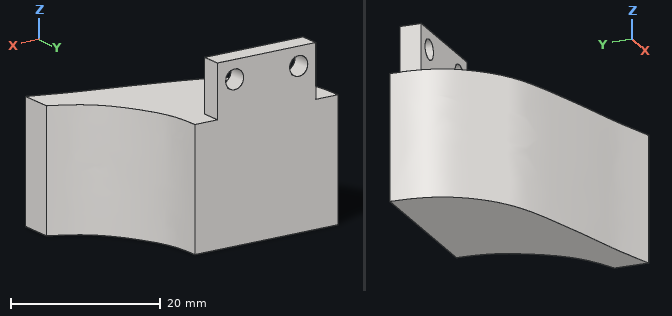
import cadquery as cq

BODY_LENGTH = 35.0
BODY_DEPTH = 23.0
BODY_HEIGHT = 18.3
BACK_WIDTH = 23.25
TIP_WIDTH = 5.0

FRONT_CURVE_POINTS = [(1.55, -8.05), (5.88, -13.23), (15.05, -17.32), (26.25, -20.37)]
SQUARE_TO_BACK = (0, -1)
FRONT_TIP_DIRECTION = (3, -1)

SIDE_CURVE_POINTS = [(29.9, -14.98), (24.92, -8.05)]
SIDE_TIP_DIRECTION = (-2.2, 1)
SIDE_BACK_DIRECTION = (0, 1)

TAB_OFFSET = 3.6
TAB_WIDTH = 15.95
TAB_THICKNESS = 3.08
TOTAL_HEIGHT = 26.3
TAB_HEIGHT = TOTAL_HEIGHT - BODY_HEIGHT

HOLE_DIAMETER = 2.9
HOLE_SPACING = 10.4
HOLE_DROP = 2.8


def make_body():
    """Extruded body between the swept front curve and the concave side curve."""
    tip_front = (BODY_LENGTH, -BODY_DEPTH)
    tip_back = (BODY_LENGTH, TIP_WIDTH - BODY_DEPTH)
    return (
        cq.Workplane("XY")
        .spline(
            [(0, 0)] + FRONT_CURVE_POINTS + [tip_front],
            tangents=[SQUARE_TO_BACK, FRONT_TIP_DIRECTION],
        )
        .lineTo(*tip_back)
        .spline(
            SIDE_CURVE_POINTS + [(BACK_WIDTH, 0)],
            tangents=[SIDE_TIP_DIRECTION, SIDE_BACK_DIRECTION],
            includeCurrent=True,
        )
        .close()
        .extrude(BODY_HEIGHT)
    )


def make_tab():
    """Rectangular tab with two holes running along Y."""
    tab = cq.Workplane("XY").box(TAB_WIDTH, TAB_THICKNESS, TAB_HEIGHT)
    tab = (
        tab.faces("<Y").workplane(centerOption="CenterOfMass")
        .center(0, TAB_HEIGHT / 2 - HOLE_DROP)
        .rarray(HOLE_SPACING, 0.35, 2, 1)
        .hole(HOLE_DIAMETER)
    )
    return tab.translate(
        (TAB_OFFSET + TAB_WIDTH / 2, -TAB_THICKNESS / 2, BODY_HEIGHT + TAB_HEIGHT / 2)
    )


result = make_body().union(make_tab())